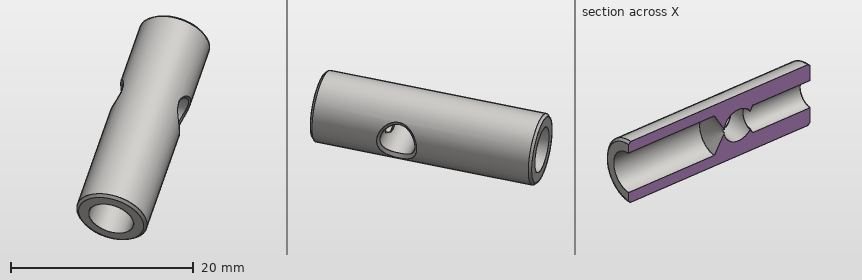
import cadquery as cq
import math

BODY_DIAMETER = 8.0
BODY_LENGTH = 25.4
END_CHAMFER = 0.3

DRILL_TIP_ANGLE = 118.0
FRONT_HOLE_DIAMETER = 5.1
FRONT_HOLE_DEPTH = 12.0
BACK_HOLE_DIAMETER = 3.5
BACK_HOLE_DEPTH = 8.0

CROSS_HOLE_DIAMETER = 4.0
CROSS_HOLE_FROM_BACK = 10.0
LEFT_MOUTH_CHAMFER = 0.3
RIGHT_MOUTH_CHAMFER = 0.2

CUTTER_OVERSHOOT = 0.4
CUTTER_CLEARANCE = 1.0

BODY_RADIUS = BODY_DIAMETER / 2
HALF_LENGTH = BODY_LENGTH / 2
CROSS_HOLE_RADIUS = CROSS_HOLE_DIAMETER / 2
CROSS_HOLE_Y = HALF_LENGTH - CROSS_HOLE_FROM_BACK


def make_body():
    """Round bar with both end rims chamfered."""
    back_end = cq.Workplane("XZ", origin=(0, HALF_LENGTH, 0))
    body = back_end.circle(BODY_RADIUS).extrude(BODY_LENGTH)
    return body.faces("<Y or >Y").chamfer(END_CHAMFER)


def end_drill(diameter, depth, side):
    """Pointed drill along Y, entering the end on the given side (-1 or +1)."""
    radius = diameter / 2
    tip_length = radius / math.tan(math.radians(DRILL_TIP_ANGLE / 2))
    end_y = side * HALF_LENGTH
    shoulder_y = end_y - side * depth
    return (
        cq.Workplane("XY")
        .moveTo(0, end_y)
        .lineTo(radius, end_y)
        .lineTo(radius, shoulder_y)
        .lineTo(0, shoulder_y - side * tip_length)
        .close()
        .revolve(360, (0, 0, 0), (0, 1, 0))
    )


def cross_drill():
    """Cylinder along X that passes right through the body."""
    left_side = cq.Workplane("YZ", origin=(-BODY_RADIUS, CROSS_HOLE_Y, 0))
    return left_side.circle(CROSS_HOLE_RADIUS).extrude(BODY_DIAMETER)


def mouth_chamfer_point(angle, size, fraction, side):
    """Point on the chamfer of one cross hole mouth.

    A ball of radius `size` rolled along inside the corner touches the hole wall
    at fraction 0 and the outside of the body at fraction 1.
    """
    ball_radius = CROSS_HOLE_RADIUS + size
    ball_y = ball_radius * math.cos(angle)
    ball_z = ball_radius * math.sin(angle)
    ball_x = math.sqrt((BODY_RADIUS - size) ** 2 - ball_z**2)

    hole_scale = CROSS_HOLE_RADIUS / ball_radius
    hole_foot = cq.Vector(ball_x, ball_y * hole_scale, ball_z * hole_scale)
    body_scale = BODY_RADIUS / (BODY_RADIUS - size)
    body_foot = cq.Vector(ball_x * body_scale, ball_y, ball_z * body_scale)

    point = hole_foot + (body_foot - hole_foot) * fraction
    return cq.Vector(side * point.x, CROSS_HOLE_Y + point.y, point.z)


def mouth_ring(size, fraction, side, flat_x=None):
    """Closed curve around the mouth, moved flat onto x = flat_x when that is given."""

    def point_at(angle):
        point = mouth_chamfer_point(angle, size, fraction, side)
        x = point.x if flat_x is None else flat_x
        return (x, point.y, point.z)

    curve = cq.Workplane("XY").parametricCurve(point_at, start=0, stop=2 * math.pi, makeWire=False)
    return curve.val()


def mouth_chamfer_cutter(size, side):
    """Solid whose flared wall leaves the chamfer of one cross hole mouth."""
    inner = -CUTTER_OVERSHOOT
    outer = 1 + CUTTER_OVERSHOOT
    rings = [
        mouth_ring(size, inner, side, 0),
        mouth_ring(size, inner, side),
        mouth_ring(size, outer, side),
        mouth_ring(size, outer, side, side * (BODY_RADIUS + CUTTER_CLEARANCE)),
    ]
    faces = [cq.Face.makeRuledSurface(a, b) for a, b in zip(rings, rings[1:])]
    for ring in (rings[0], rings[-1]):
        faces.append(cq.Face.makeFromWires(cq.Wire.assembleEdges([ring])))
    cutter = cq.Solid.makeSolid(cq.Shell.makeShell(faces))
    return cq.Workplane(cutter.fix())


result = (
    make_body()
    .cut(cross_drill())
    .cut(mouth_chamfer_cutter(LEFT_MOUTH_CHAMFER, -1))
    .cut(mouth_chamfer_cutter(RIGHT_MOUTH_CHAMFER, 1))
    .cut(end_drill(FRONT_HOLE_DIAMETER, FRONT_HOLE_DEPTH, -1))
    .cut(end_drill(BACK_HOLE_DIAMETER, BACK_HOLE_DEPTH, 1))
).solids()